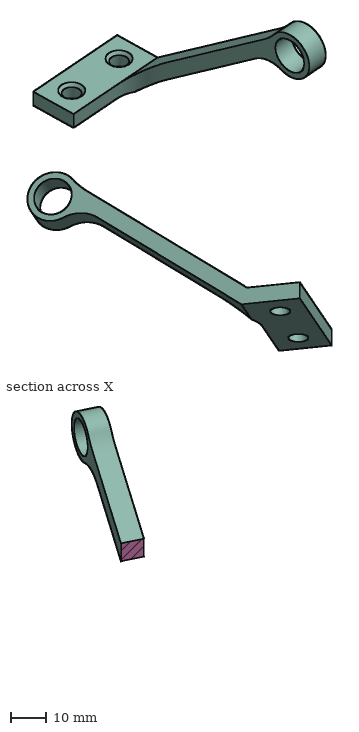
import cadquery as cq
import math

base_length = 15.5
base_width = 35.5
base_thickness = 5.0

screw_hole_diameter = 5.7
countersink_diameter = 7.7
countersink_angle = 90.0
screw_hole_spacing = 20.0

arm_angle = 36.6
arm_thickness = 5.0
arm_width = 7.0
inside_corner_radius = 10.0

overall_length = 80.0
overall_height = 46.74
ring_outer_radius = 7.5
ring_bore_diameter = 11.0
ring_center_x = overall_length - ring_outer_radius
ring_center_z = overall_height - ring_outer_radius
upper_blend_radius = 20.0
lower_blend_radius = 10.0

arm_sin = math.sin(math.radians(arm_angle))
arm_cos = math.cos(math.radians(arm_angle))

ring_rise = ring_center_z - base_thickness
ring_reach = ring_center_x - base_length
ring_u = ring_reach * arm_cos + ring_rise * arm_sin
ring_v = ring_rise * arm_cos - ring_reach * arm_sin


def arm_point(u, v):
    """Turn arm coordinates (u, v) into part coordinates (x, z)."""
    x = base_length + u * arm_cos - v * arm_sin
    z = base_thickness + u * arm_sin + v * arm_cos
    return (x, z)


def blend_points(face_v, side, radius):
    """Start, middle and end of the arc joining an arm face to the ring.

    face_v is the v of the arm face; side is +1 for the upper face, -1 for the lower.
    """
    center_v = face_v + side * radius
    offset_v = center_v - ring_v
    center_distance = ring_outer_radius + radius
    center_u = ring_u - math.sqrt(center_distance**2 - offset_v**2)

    face_direction = -side * math.pi / 2
    ring_direction = math.atan2(ring_v - center_v, ring_u - center_u)
    middle_direction = (face_direction + ring_direction) / 2
    return [
        arm_point(center_u + radius * math.cos(a), center_v + radius * math.sin(a))
        for a in (face_direction, middle_direction, ring_direction)
    ]


def make_base():
    base = cq.Workplane("XY").box(base_length, base_width, base_thickness, centered=False)
    base = base.translate((0, -base_width, 0))
    return (
        base.faces(">Z")
        .workplane(centerOption="CenterOfBoundBox")
        .rarray(1, screw_hole_spacing, 1, 2)
        .cskHole(screw_hole_diameter, countersink_diameter, countersink_angle)
    )


def make_arm_profile():
    """Side shape of the arm and ring, extruded from the back face toward -Y."""
    upper_start, upper_middle, upper_end = blend_points(0, 1, upper_blend_radius)
    lower_start, lower_middle, lower_end = blend_points(-arm_thickness, -1, lower_blend_radius)
    ring_tip = arm_point(ring_u + ring_outer_radius, ring_v)
    lower_corner_x = base_length + (arm_thickness - base_thickness * arm_cos) / arm_sin
    return (
        cq.Workplane("XZ")
        .moveTo(base_length, 0)
        .lineTo(base_length, base_thickness)
        .lineTo(*upper_start)
        .threePointArc(upper_middle, upper_end)
        .threePointArc(ring_tip, lower_end)
        .threePointArc(lower_middle, lower_start)
        .lineTo(lower_corner_x, 0)
        .close()
        .extrude(arm_width + inside_corner_radius)
    )


def make_arm_plan():
    """Plan shape of the arm, with a rounded inside corner at the base."""
    arc_center_x = base_length + inside_corner_radius
    arc_center_y = -arm_width - inside_corner_radius
    diagonal_step = inside_corner_radius * math.sqrt(0.5)
    return (
        cq.Workplane("XY")
        .moveTo(base_length, 0)
        .lineTo(base_length, arc_center_y)
        .threePointArc(
            (arc_center_x - diagonal_step, arc_center_y + diagonal_step),
            (arc_center_x, -arm_width),
        )
        .lineTo(overall_length, -arm_width)
        .lineTo(overall_length, 0)
        .close()
        .extrude(overall_height)
    )


def make_ring_bore():
    return (
        cq.Workplane("XZ")
        .center(ring_center_x, ring_center_z)
        .circle(ring_bore_diameter / 2)
        .extrude(arm_width)
    )


arm = make_arm_profile().intersect(make_arm_plan()).cut(make_ring_bore())
result = make_base().union(arm)